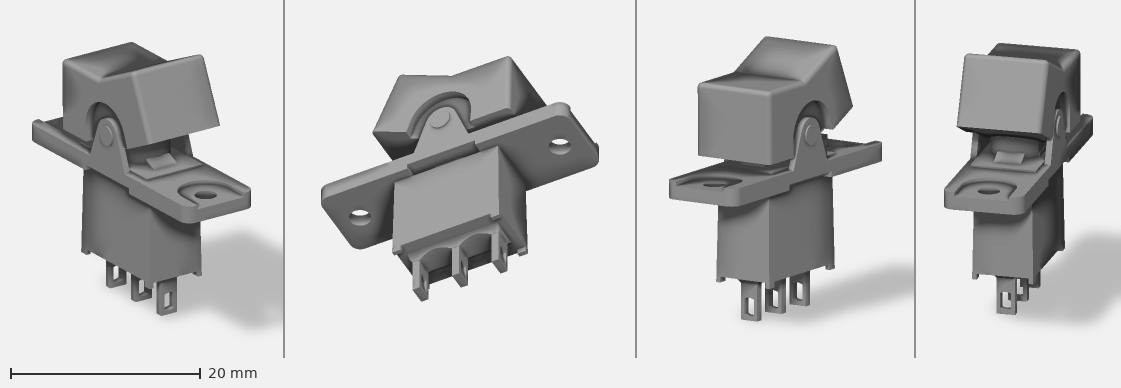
import cadquery as cq
import math


PLATE_LENGTH = 29.35
PLATE_WIDTH = 8.8
PLATE_THICKNESS = 1.95
PLATE_CORNER_RADIUS = 1.17
SCREW_OFFSET = 11.85
SCREW_DIAMETER = 2.38
SCREW_RECESS_RADIUS = 3.0
SCREW_RECESS_DEPTH = 0.47
NOTCH_LENGTH = 8.07
NOTCH_HEIGHT = 0.62

PIVOT_HEIGHT = 3.35
PIVOT_DIAMETER = 2.2
PIVOT_LENGTH = 9.22
TAB_RADIUS = 1.82
TAB_FLARE = 21.0
TAB_THICKNESS = 0.68

ROCKER_WIDTH = 9.28
ROCKER_TILT = 12.5
WING_TOP = 6.05
WING_BOTTOM = -1.82
WING_REACH_TOP = 8.3
WING_REACH_BOTTOM = 8.22
ROCKER_ROUNDING = 0.53
ROCKER_RECESS_RADIUS = 3.7
ROCKER_RECESS_FLARE = 8.5
ROCKER_RECESS_DEPTH = 1.05

BUSHING_RADIUS = 3.05
BUSHING_FLATS = 5.23
BUSHING_BASE_RADIUS = 3.17
BUSHING_BASE_FLATS = 5.52

WASHER_LENGTH = 12.33
WASHER_WIDTH = 7.22
WASHER_THICKNESS = 0.3
WASHER_DRAFT = 15.0
TANG_WIDTH = 3.0
TANG_FOOT = 4.5
TANG_TIP = 2.95
TANG_TIP_HEIGHT = 1.0
TANG_THICKNESS = 0.23
LIP_HEIGHT = 0.7

BODY_LENGTH = 12.68
BODY_WIDTH = 6.7
BODY_BOTTOM = -12.3
BODY_DRAFT = 1.05
FOOT_LENGTH = 1.0
FOOT_WIDTH = 0.5
FOOT_HEIGHT = 0.62

TERMINAL_PITCH = 4.7
TERMINAL_THICKNESS = 0.85
TERMINAL_WIDTH = 2.05
TERMINAL_BOTTOM = -16.3
SLOT_WIDTH = 1.2
SLOT_HEIGHT = 2.0
SLOT_END_RISE = 0.15
SLOT_CENTRE = -14.83
RESIN_VALLEY = 0.18
RESIN_END_DROP = 0.3
RESIN_HALF_WIDTH = 1.85
RESIN_TIP_HALF_WIDTH = 1.05
RESIN_SAG = 0.1

body_height = -PLATE_THICKNESS - BODY_BOTTOM
resin_top = BODY_BOTTOM + FOOT_HEIGHT
tilt = math.radians(ROCKER_TILT)


def block(length, width, bottom, top):
    """Box centred on the Z axis between two heights."""
    return cq.Workplane("XY", origin=(0, 0, bottom)).rect(length, width).extrude(top - bottom)


def prism_across(outline, width):
    """Extrude an outline in the XZ plane symmetrically along Y."""
    return outline.extrude(width / 2, both=True)


def arch(radius, flare, drop, width):
    """Prism with a round top about the pivot and straight sides that flare out downwards."""
    angle = math.radians(flare)
    shoulder_x = radius * math.cos(angle)
    shoulder_z = radius * math.sin(angle)
    foot_x = (radius + drop * math.sin(angle)) / math.cos(angle)
    outline = (
        cq.Workplane("XZ")
        .moveTo(-foot_x, -drop)
        .lineTo(-shoulder_x, shoulder_z)
        .threePointArc((0, radius), (shoulder_x, shoulder_z))
        .lineTo(foot_x, -drop)
        .close()
    )
    return prism_across(outline, width)


def make_plate():
    plate = block(PLATE_LENGTH, PLATE_WIDTH, -PLATE_THICKNESS, 0).edges("|Z").fillet(PLATE_CORNER_RADIUS)
    plate = plate.cut(block(NOTCH_LENGTH, PLATE_WIDTH, -PLATE_THICKNESS, -PLATE_THICKNESS + NOTCH_HEIGHT))
    for side in (-1, 1):
        centre = (side * SCREW_OFFSET, 0)
        run_out = PLATE_LENGTH / 2 - SCREW_OFFSET
        floor = cq.Workplane("XY", origin=(0, 0, -SCREW_RECESS_DEPTH))
        recess = floor.center(*centre).circle(SCREW_RECESS_RADIUS).extrude(SCREW_RECESS_DEPTH)
        channel = (
            floor.center(side * (SCREW_OFFSET + run_out / 2), 0)
            .rect(run_out, 2 * SCREW_RECESS_RADIUS)
            .extrude(SCREW_RECESS_DEPTH)
        )
        hole = cq.Workplane("XY").center(*centre).circle(SCREW_DIAMETER / 2).extrude(-PLATE_THICKNESS)
        plate = plate.cut(recess).cut(channel).cut(hole)
    return plate


def make_tabs():
    tabs = arch(TAB_RADIUS, TAB_FLARE, PIVOT_HEIGHT, PLATE_WIDTH)
    gap = cq.Workplane("XY").box(PLATE_LENGTH, PLATE_WIDTH - 2 * TAB_THICKNESS, PLATE_LENGTH)
    pin = prism_across(cq.Workplane("XZ").circle(PIVOT_DIAMETER / 2), PIVOT_LENGTH)
    return tabs.cut(gap).union(pin).translate((0, 0, PIVOT_HEIGHT))


def across_axis(point):
    """Mirror an XZ point about the tilted axis of the rocker."""
    x, z = point
    cosine, sine = math.cos(2 * tilt), math.sin(2 * tilt)
    return (-x * cosine - z * sine, -x * sine + z * cosine)


def make_rocker():
    bottom_end = (-WING_REACH_BOTTOM, WING_BOTTOM)
    top_end = (-WING_REACH_TOP, WING_TOP)
    fold_top = (-WING_TOP * math.tan(tilt), WING_TOP)
    fold_bottom = (-WING_BOTTOM * math.tan(tilt), WING_BOTTOM)
    rim = [bottom_end, top_end, fold_top, across_axis(top_end), across_axis(bottom_end)]
    rocker = prism_across(cq.Workplane("XZ").polyline(rim + [fold_bottom]).close(), ROCKER_WIDTH)

    rounded = rocker.edges(cq.NearestToPointSelector((top_end[0], 0, top_end[1])))
    right_top = across_axis(top_end)
    rounded = rounded.add(rocker.edges(cq.NearestToPointSelector((right_top[0], 0, right_top[1]))))
    for (x1, z1), (x2, z2) in zip(rim, rim[1:]):
        for y in (-ROCKER_WIDTH / 2, ROCKER_WIDTH / 2):
            middle = ((x1 + x2) / 2, y, (z1 + z2) / 2)
            rounded = rounded.add(rocker.edges(cq.NearestToPointSelector(middle)))
    rocker = rounded.fillet(ROCKER_ROUNDING)

    core_width = ROCKER_WIDTH - 2 * ROCKER_RECESS_DEPTH
    recess = arch(ROCKER_RECESS_RADIUS, ROCKER_RECESS_FLARE, WING_REACH_TOP, ROCKER_WIDTH)
    recess = recess.cut(cq.Workplane("XY").box(PLATE_LENGTH, core_width, PLATE_LENGTH))
    recess = recess.rotate((0, 0, 0), (0, 1, 0), -ROCKER_TILT)
    return rocker.cut(recess).translate((0, 0, PIVOT_HEIGHT))


def flatted_cylinder(radius, flats, bottom, top):
    cylinder = cq.Workplane("XY", origin=(0, 0, bottom)).circle(radius).extrude(top - bottom)
    return cylinder.intersect(block(2 * radius, flats, bottom, top))


def make_bushing():
    shaft = flatted_cylinder(BUSHING_RADIUS, BUSHING_FLATS, 0, PIVOT_HEIGHT)
    base = flatted_cylinder(BUSHING_BASE_RADIUS, BUSHING_BASE_FLATS, -PLATE_THICKNESS, 0)
    return shaft.union(base)


def make_washer():
    washer = (
        cq.Workplane("XY", origin=(0, 0, WASHER_THICKNESS))
        .rect(WASHER_LENGTH, WASHER_WIDTH)
        .extrude(-WASHER_THICKNESS, taper=WASHER_DRAFT)
    )
    tang_outline = cq.Workplane("XZ").polyline(
        [
            (-TANG_FOOT, WASHER_THICKNESS),
            (-TANG_TIP, TANG_TIP_HEIGHT),
            (-TANG_TIP, TANG_TIP_HEIGHT - TANG_THICKNESS),
            (-TANG_FOOT, WASHER_THICKNESS - TANG_THICKNESS),
        ]
    )
    tang = prism_across(tang_outline.close(), TANG_WIDTH)
    lips = block(TANG_WIDTH, BUSHING_BASE_FLATS, 0, LIP_HEIGHT)
    return washer.union(tang).union(tang.mirror("YZ")).union(lips)


def make_body():
    body = (
        cq.Workplane("XY", origin=(0, 0, BODY_BOTTOM))
        .rect(BODY_LENGTH, BODY_WIDTH)
        .extrude(body_height, taper=BODY_DRAFT)
    )
    body = body.cut(block(BODY_LENGTH - 2 * FOOT_LENGTH, BODY_WIDTH, BODY_BOTTOM, resin_top))
    return body.cut(block(BODY_LENGTH, BODY_WIDTH - 2 * FOOT_WIDTH, BODY_BOTTOM, resin_top))


def make_resin():
    """Resin sags between the terminals and thins out towards its sides."""
    end_x = BODY_LENGTH / 2 - FOOT_LENGTH
    half_terminal = TERMINAL_THICKNESS / 2
    valley_z = resin_top - RESIN_VALLEY
    waves = (
        cq.Workplane("XZ")
        .moveTo(-end_x, resin_top)
        .lineTo(-end_x, resin_top - RESIN_END_DROP)
        .lineTo(-TERMINAL_PITCH - half_terminal, BODY_BOTTOM)
    )
    for left in (-TERMINAL_PITCH, 0):
        waves = waves.lineTo(left + half_terminal, BODY_BOTTOM).threePointArc(
            (left + TERMINAL_PITCH / 2, valley_z), (left + TERMINAL_PITCH - half_terminal, BODY_BOTTOM)
        )
    waves = (
        waves.lineTo(TERMINAL_PITCH + half_terminal, BODY_BOTTOM)
        .lineTo(end_x, resin_top - RESIN_END_DROP)
        .lineTo(end_x, resin_top)
        .close()
    )
    flank_y = (RESIN_HALF_WIDTH + RESIN_TIP_HALF_WIDTH) / 2 - RESIN_SAG
    flank_z = (resin_top + BODY_BOTTOM) / 2 + RESIN_SAG
    section = (
        cq.Workplane("YZ")
        .moveTo(-RESIN_HALF_WIDTH, resin_top)
        .threePointArc((-flank_y, flank_z), (-RESIN_TIP_HALF_WIDTH, BODY_BOTTOM))
        .lineTo(RESIN_TIP_HALF_WIDTH, BODY_BOTTOM)
        .threePointArc((flank_y, flank_z), (RESIN_HALF_WIDTH, resin_top))
        .close()
        .extrude(end_x, both=True)
    )
    return prism_across(waves, 2 * RESIN_HALF_WIDTH).intersect(section)


def make_terminal():
    blade = block(TERMINAL_THICKNESS, TERMINAL_WIDTH, TERMINAL_BOTTOM, resin_top)
    half_width = SLOT_WIDTH / 2
    half_height = SLOT_HEIGHT / 2
    straight = half_height - SLOT_END_RISE
    slot = (
        cq.Workplane("YZ", origin=(0, 0, SLOT_CENTRE))
        .moveTo(-half_width, -straight)
        .lineTo(-half_width, straight)
        .threePointArc((0, half_height), (half_width, straight))
        .lineTo(half_width, -straight)
        .threePointArc((0, -half_height), (-half_width, -straight))
        .close()
        .extrude(TERMINAL_THICKNESS, both=True)
    )
    return blade.cut(slot)


result = make_plate().union(make_bushing()).union(make_washer()).union(make_tabs()).union(make_rocker())
result = result.union(make_body()).union(make_resin())
terminal = make_terminal()
for position in (-1, 0, 1):
    result = result.union(terminal.translate((position * TERMINAL_PITCH, 0, 0)))